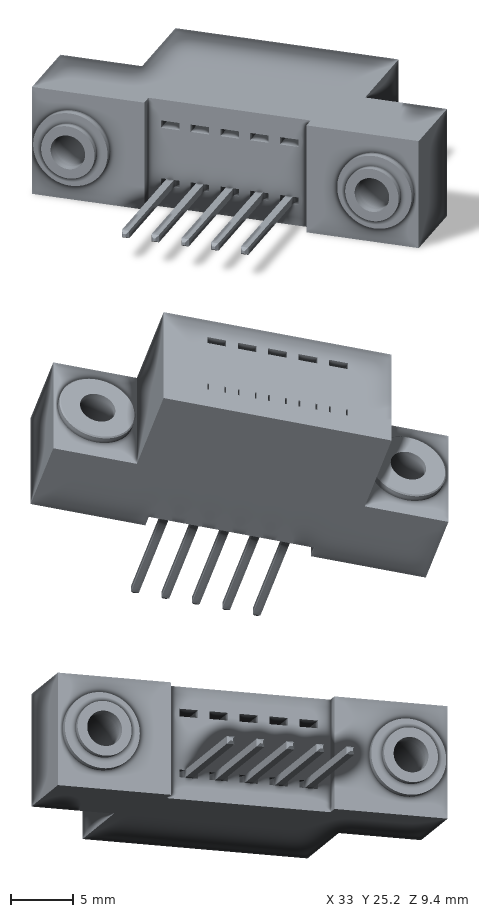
import cadquery as cq


body_length = 33.02
body_height = 9.4
ear_depth = 6.88
nose_length = 19.05
nose_depth = 8.13
recess_length = 13.84
recess_depth = 1.05

contact_count = 5
contact_pitch = 2.54
row_spacing = 5.08
slot_length = 1.57
slot_height = 0.64

tail_width = 0.64
tail_reach = 10.14
tip_length = 0.32
tip_width = 0.25
blade_width = 1.27
shoulder_length = 0.7
shoulder_inset = 0.1

bushing_spacing = 25.96
bushing_bore = 2.95
shank_diameter = 4.57
collar_height = 0.6
flange_diameter = 6.35
flange_thickness = 0.67
flange_chamfer = 0.1
flange_gap = 0.06

body_depth = ear_depth + nose_depth
contact_xs = [(i - (contact_count - 1) / 2) * contact_pitch for i in range(contact_count)]
bushing_xs = [-bushing_spacing / 2, bushing_spacing / 2]
upper_row_z = row_spacing / 2
lower_row_z = -row_spacing / 2


def block(length, y_start, y_end, height):
    """Box between two Y positions, centred on X = Z = 0."""
    box = cq.Workplane("XY").box(length, y_end - y_start, height, centered=(True, False, True))
    return box.translate((0, y_start, 0))


def y_cylinder(diameter, y_start, y_end):
    """Cylinder along Y between two Y positions, centred on X = Z = 0."""
    start_plane = cq.Workplane("XZ", origin=(0, y_start, 0))
    return start_plane.circle(diameter / 2).extrude(y_start - y_end)


def make_housing():
    """T-shaped block with a pin-side recess, contact slots and bushing holes."""
    ears = block(body_length, 0, ear_depth, body_height)
    nose = block(nose_length, 0, body_depth, body_height)
    recess = block(recess_length, 0, recess_depth, body_height)
    housing = ears.union(nose).cut(recess)

    slot = block(slot_length, 0, body_depth, slot_height)
    for x in contact_xs:
        for z in (upper_row_z, lower_row_z):
            housing = housing.cut(slot.translate((x, 0, z)))

    hole = y_cylinder(shank_diameter, 0, ear_depth)
    for x in bushing_xs:
        housing = housing.cut(hole.translate((x, 0, 0)))
    return housing


def make_bushing(x):
    """Hollow flanged bushing; a small gap separates its pin-side flange from the ear."""
    nose_side_end = ear_depth + flange_thickness
    pin_flange_end = -flange_gap - flange_thickness
    collar_end = pin_flange_end - collar_height

    shank = y_cylinder(shank_diameter, collar_end, nose_side_end)
    pin_flange = y_cylinder(flange_diameter, pin_flange_end, -flange_gap)
    nose_flange = y_cylinder(flange_diameter, ear_depth, nose_side_end)
    nose_flange = nose_flange.faces(">Y").chamfer(flange_chamfer)
    bore = y_cylinder(bushing_bore, collar_end, nose_side_end)

    bushing = shank.union(pin_flange).union(nose_flange).cut(bore)
    return bushing.translate((x, 0, 0))


def make_pin(x):
    """Contact pin in the lower row, its blade running through the housing."""
    tail_start = -tail_reach + tip_length
    shoulder_start = recess_depth + shoulder_inset
    right_side = [
        (tail_width / 2, tail_start),
        (tail_width / 2, shoulder_start),
        (blade_width / 2, shoulder_start + shoulder_length),
        (blade_width / 2, body_depth),
    ]
    left_side = [(-side_x, side_y) for side_x, side_y in reversed(right_side)]
    outline = cq.Workplane("XY").polyline(right_side + left_side).close()
    pin = outline.extrude(slot_height / 2, both=True)

    tip_base = cq.Workplane("XZ", origin=(0, tail_start, 0)).rect(tail_width, slot_height)
    tip = tip_base.workplane(offset=tip_length).rect(tip_width, tip_width).loft()
    return pin.union(tip).translate((x, 0, lower_row_z))


housing = make_housing()
bushings = [make_bushing(x).val() for x in bushing_xs]
pins = [make_pin(x).val() for x in contact_xs]

result = cq.Compound.makeCompound([housing.val(), *bushings, *pins])